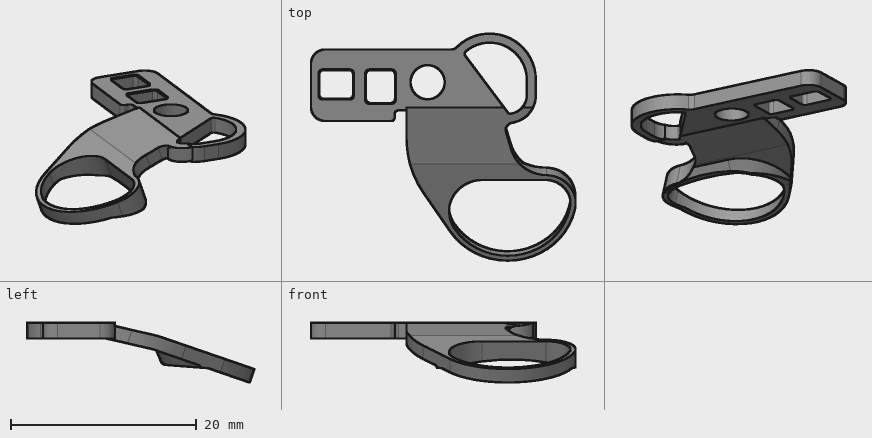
import cadquery as cq
import math

PLATE_WIDTH = 7.75
PLATE_THICKNESS = 1.7
PLATE_CORNER_RADIUS = 1.57
ROUND_HOLE_DIAMETER = 3.65
ROUND_HOLE_CENTER = (12.6, 4.2)

WINDOWS = [(0.95, 2.43, 4.55, 5.48), (5.97, 1.97, 9.05, 5.48)]
WINDOW_CORNER_RADIUS = 0.4
WINDOW_CHAMFER = 0.1
WINDOW_CHAMFER_ANGLE = 45.0

NOTCH_LEFT = 9.05
NOTCH_TOP = 1.17
NOTCH_RADIUS = 0.43
NOTCH_CORNER_RADIUS = 0.4

SMALL_LOOP_CENTER = (19.27, 4.45)
SMALL_LOOP_RADIUS = 5.0
SMALL_LOOP_WALL = 1.0
SMALL_LOOP_LOWER_RADIUS = 3.0
SMALL_LOOP_LOWER_Y = 2.8
SMALL_LOOP_BLEND_RADIUS = 0.85
SMALL_HOLE_CORNER_RADIUS = 0.35
SMALL_HOLE_UPPER_CORNER_ANGLE = 134.5
SMALL_HOLE_LOWER_CORNER_ANGLE = -88.0
small_loop_right = SMALL_LOOP_CENTER[0] + SMALL_LOOP_RADIUS
small_loop_lower_center = (small_loop_right - SMALL_LOOP_LOWER_RADIUS, SMALL_LOOP_LOWER_Y)

TAB_THICKNESS = 1.55
FIRST_BEND_Y = 1.48
SECOND_BEND_Y = -4.6
FIRST_SLOPE = 13.0
LOOP_SLOPE = 19.0
SLOPE_REACH = 17.13
second_bend_z = -(FIRST_BEND_Y - SECOND_BEND_Y) * math.tan(math.radians(FIRST_SLOPE))

HOLE_LEFT_RADIUS = 3.57
HOLE_RIGHT_RADIUS = 2.65
HOLE_BASE_RADIUS = 6.85
HOLE_TOP = -1.85
HOLE_LEFT_X = 18.47
LOOP_WALL = 0.57
LOOP_RIGHT_X = 28.55
hole_left_center = cq.Vector(HOLE_LEFT_X, HOLE_TOP - HOLE_LEFT_RADIUS)
hole_right_center = cq.Vector(LOOP_RIGHT_X - LOOP_WALL - HOLE_RIGHT_RADIUS, HOLE_TOP - HOLE_RIGHT_RADIUS)

TAB_LEFT_X = 10.3
TAB_TOP = 8.56
LEFT_STRAIGHT_END = 2.8
LEFT_FLANK_ANGLE = 33.2
INFLECTION_ANGLE = 89.0
WAIST_CURVE_END = (21.55, 1.7)
THROAT_START = (21.05, 3.43)
THROAT_END = (21.85, 4.5)

LIP_WIDTH = 1.45
LIP_TAPER = 42.0
LIP_MAX_DEPTH = 1.7
UNDERSIDE_SLOPE = 4.4
UNDERSIDE_Y = -5.15
UNDERSIDE_Z = -4.55
SADDLE_RADIUS = 22.27
SADDLE_RISE = 0.6
SADDLE_X = 21.55

CUT_SIZE = 85.65


def on_circle(center, radius, angle):
    """Point on a circle at an angle in degrees."""
    a = math.radians(angle)
    return (center[0] + radius * math.cos(a), center[1] + radius * math.sin(a))


def angle_of(vector):
    """Direction of a vector in degrees."""
    return math.degrees(math.atan2(vector.y, vector.x))


def tangent_base_center():
    """Centre of the base arc that encloses the left and right arcs of the finger hole."""
    reach_left = HOLE_BASE_RADIUS - HOLE_LEFT_RADIUS
    reach_right = HOLE_BASE_RADIUS - HOLE_RIGHT_RADIUS
    span = hole_right_center - hole_left_center
    along = (reach_left**2 - reach_right**2 + span.Length**2) / (2 * span.Length)
    across = math.sqrt(reach_left**2 - along**2)
    direction = span.normalized()
    normal = cq.Vector(-direction.y, direction.x)
    return hole_left_center + direction * along + normal * across


base_center = tangent_base_center()
left_join_angle = angle_of(hole_left_center - base_center) % 360
right_join_angle = angle_of(hole_right_center - base_center)


def loop_plane():
    """Top plane of the steeper slope, with local y pointing uphill."""
    tilt = math.radians(LOOP_SLOPE)
    return cq.Workplane(
        cq.Plane(
            origin=(0, SECOND_BEND_Y, second_bend_z),
            xDir=(1, 0, 0),
            normal=(0, -math.sin(tilt), math.cos(tilt)),
        )
    )


def finger_hole_outline(workplane, growth=0.0):
    """Closed outline of the finger hole, grown outward by a uniform distance."""
    left_radius = HOLE_LEFT_RADIUS + growth
    right_radius = HOLE_RIGHT_RADIUS + growth
    base_radius = HOLE_BASE_RADIUS + growth
    left = hole_left_center.toTuple()
    right = hole_right_center.toTuple()
    base = base_center.toTuple()
    left_mid_angle = (90 + left_join_angle) / 2
    right_mid_angle = (90 + right_join_angle) / 2
    return (
        workplane.moveTo(*on_circle(right, right_radius, 90))
        .lineTo(*on_circle(left, left_radius, 90))
        .threePointArc(
            on_circle(left, left_radius, left_mid_angle),
            on_circle(left, left_radius, left_join_angle),
        )
        .threePointArc(
            on_circle(base, base_radius, -90),
            on_circle(base, base_radius, right_join_angle),
        )
        .threePointArc(
            on_circle(right, right_radius, right_mid_angle),
            on_circle(right, right_radius, 90),
        )
        .close()
    )


def tab_outline(workplane):
    """Outer edge of the tab and finger loop."""
    base = base_center.toTuple()
    right = hole_right_center.toTuple()
    base_radius = HOLE_BASE_RADIUS + LOOP_WALL
    right_radius = HOLE_RIGHT_RADIUS + LOOP_WALL
    flank_end = on_circle(base, base_radius, 180 + LEFT_FLANK_ANGLE)
    flank = math.radians(LEFT_FLANK_ANGLE)
    flank_corner_y = flank_end[1] + (flank_end[0] - TAB_LEFT_X) / math.tan(flank)
    tangent_length = LEFT_STRAIGHT_END - flank_corner_y
    flank_start = (
        TAB_LEFT_X + tangent_length * math.sin(flank),
        flank_corner_y - tangent_length * math.cos(flank),
    )
    right_mid_angle = (right_join_angle + INFLECTION_ANGLE) / 2
    return (
        workplane.moveTo(TAB_LEFT_X, TAB_TOP)
        .lineTo(TAB_LEFT_X, LEFT_STRAIGHT_END)
        .tangentArcPoint(flank_start, relative=False)
        .lineTo(*flank_end)
        .threePointArc(
            on_circle(base, base_radius, -90),
            on_circle(base, base_radius, right_join_angle),
        )
        .threePointArc(
            on_circle(right, right_radius, right_mid_angle),
            on_circle(right, right_radius, INFLECTION_ANGLE),
        )
        .tangentArcPoint(WAIST_CURVE_END, relative=False)
        .lineTo(*THROAT_START)
        .tangentArcPoint(THROAT_END, relative=False)
        .lineTo(THROAT_END[0], TAB_TOP)
        .close()
    )


def fillet_upright_edge(body, corner, radius, depth):
    """Round the vertical edge of a body that stands at one corner point."""
    middle = (*corner, -depth / 2)
    return body.edges("|Z").edges(cq.selectors.NearestToPointSelector(middle)).fillet(radius)


def small_loop_blank(depth):
    """Solid shape of the small loop, from the top face downward."""
    lower = small_loop_lower_center
    return (
        cq.Workplane("XY")
        .moveTo(*on_circle(SMALL_LOOP_CENTER, SMALL_LOOP_RADIUS, 180))
        .threePointArc(
            on_circle(SMALL_LOOP_CENTER, SMALL_LOOP_RADIUS, 90),
            on_circle(SMALL_LOOP_CENTER, SMALL_LOOP_RADIUS, 0),
        )
        .lineTo(*on_circle(lower, SMALL_LOOP_LOWER_RADIUS, 0))
        .threePointArc(
            on_circle(lower, SMALL_LOOP_LOWER_RADIUS, -45),
            on_circle(lower, SMALL_LOOP_LOWER_RADIUS, -90),
        )
        .close()
        .extrude(-depth)
    )


def small_loop_hole(depth):
    """Opening of the small loop: the inner arcs closed by a slanting chord."""
    upper = SMALL_LOOP_CENTER
    lower = small_loop_lower_center
    upper_radius = SMALL_LOOP_RADIUS - SMALL_LOOP_WALL
    lower_radius = SMALL_LOOP_LOWER_RADIUS - SMALL_LOOP_WALL
    upper_angle = SMALL_HOLE_UPPER_CORNER_ANGLE
    lower_angle = SMALL_HOLE_LOWER_CORNER_ANGLE
    opening = (
        cq.Workplane("XY")
        .moveTo(*on_circle(upper, upper_radius, upper_angle))
        .threePointArc(
            on_circle(upper, upper_radius, upper_angle / 2),
            on_circle(upper, upper_radius, 0),
        )
        .lineTo(*on_circle(lower, lower_radius, 0))
        .threePointArc(
            on_circle(lower, lower_radius, lower_angle / 2),
            on_circle(lower, lower_radius, lower_angle),
        )
        .close()
        .extrude(-depth)
    )
    for radius_center, radius, angle in (
        (upper, upper_radius, upper_angle),
        (lower, lower_radius, lower_angle),
    ):
        corner = on_circle(radius_center, radius, angle)
        opening = fillet_upright_edge(opening, corner, SMALL_HOLE_CORNER_RADIUS, depth)
    return opening


def rounded_rectangle(width, height, radius):
    """Flat sketch of a rectangle with four round corners."""
    return cq.Sketch().rect(width, height).vertices().fillet(radius)


def window(left, bottom, right, top):
    """Rounded rectangular opening with a chamfered upper rim."""
    width = right - left
    height = top - bottom
    rim = 2 * WINDOW_CHAMFER
    base = cq.Workplane("XY", origin=((left + right) / 2, (bottom + top) / 2, 0))
    opening = base.placeSketch(
        rounded_rectangle(width, height, WINDOW_CORNER_RADIUS)
    ).extrude(-PLATE_THICKNESS)
    chamfer = base.placeSketch(
        rounded_rectangle(width + rim, height + rim, WINDOW_CORNER_RADIUS + WINDOW_CHAMFER)
    ).extrude(-WINDOW_CHAMFER, taper=WINDOW_CHAMFER_ANGLE)
    return opening.union(chamfer)


def box_below(left, top):
    """Block that removes the plate to the right of one X and below one Y."""
    return (
        cq.Workplane("XY", origin=(left, top, 0))
        .rect(CUT_SIZE, -CUT_SIZE, centered=False)
        .extrude(-PLATE_THICKNESS)
    )


def make_plate():
    """Flat plate with the windows, the round hole and the upper part of the small loop."""
    plate = (
        cq.Workplane("XY")
        .rect(SMALL_LOOP_CENTER[0], PLATE_WIDTH, centered=False)
        .extrude(-PLATE_THICKNESS)
        .edges("|Z and <X")
        .fillet(PLATE_CORNER_RADIUS)
        .union(small_loop_blank(PLATE_THICKNESS))
    )
    plate_top_rise = PLATE_WIDTH - SMALL_LOOP_CENTER[1]
    loop_meets_plate_x = SMALL_LOOP_CENTER[0] - math.sqrt(SMALL_LOOP_RADIUS**2 - plate_top_rise**2)
    plate = fillet_upright_edge(
        plate, (loop_meets_plate_x, PLATE_WIDTH), SMALL_LOOP_BLEND_RADIUS, PLATE_THICKNESS
    )

    plate = plate.cut(box_below(NOTCH_LEFT, NOTCH_TOP)).cut(box_below(TAB_LEFT_X, FIRST_BEND_Y))
    plate = fillet_upright_edge(plate, (NOTCH_LEFT, NOTCH_TOP), NOTCH_RADIUS, PLATE_THICKNESS)
    plate = fillet_upright_edge(plate, (NOTCH_LEFT, 0), NOTCH_CORNER_RADIUS, PLATE_THICKNESS)

    plate = plate.cut(small_loop_hole(PLATE_THICKNESS))
    round_hole = (
        cq.Workplane("XY")
        .center(*ROUND_HOLE_CENTER)
        .circle(ROUND_HOLE_DIAMETER / 2)
        .extrude(-PLATE_THICKNESS)
    )
    plate = plate.cut(round_hole)
    for bounds in WINDOWS:
        plate = plate.cut(window(*bounds))
    return plate


def bent_sheet():
    """Sheet of even thickness that follows both slopes, wider than the tab."""
    first = math.radians(FIRST_SLOPE)
    second = math.radians(LOOP_SLOPE)
    reach_drop = SLOPE_REACH * math.tan(second)
    end_y = SECOND_BEND_Y - SLOPE_REACH
    first_drop = TAB_THICKNESS / math.cos(first)
    mid_slope = (first + second) / 2
    miter = TAB_THICKNESS / math.cos((second - first) / 2)
    return (
        cq.Workplane("YZ")
        .moveTo(FIRST_BEND_Y, 0)
        .lineTo(SECOND_BEND_Y, second_bend_z)
        .lineTo(end_y, second_bend_z - reach_drop)
        .lineTo(
            end_y + TAB_THICKNESS * math.sin(second),
            second_bend_z - reach_drop - TAB_THICKNESS * math.cos(second),
        )
        .lineTo(
            SECOND_BEND_Y + miter * math.sin(mid_slope),
            second_bend_z - miter * math.cos(mid_slope),
        )
        .lineTo(FIRST_BEND_Y, -first_drop)
        .close()
        .extrude(CUT_SIZE)
    )


def lip_space():
    """Space above the underside of the lip and outside the saddle."""
    tilt = math.radians(UNDERSIDE_SLOPE)
    origin = (SADDLE_X, UNDERSIDE_Y, UNDERSIDE_Z)
    underside = cq.Plane(
        origin=origin, xDir=(1, 0, 0), normal=(0, -math.sin(tilt), math.cos(tilt))
    )
    saddle = cq.Plane(
        origin=origin, xDir=(1, 0, 0), normal=(0, math.cos(tilt), math.sin(tilt))
    )
    space = cq.Workplane(underside).rect(CUT_SIZE, CUT_SIZE).extrude(CUT_SIZE)
    saddle_cylinder = (
        cq.Workplane(saddle)
        .center(0, SADDLE_RADIUS - SADDLE_RISE)
        .circle(SADDLE_RADIUS)
        .extrude(CUT_SIZE, both=True)
    )
    return space.cut(saddle_cylinder)


def finger_lip():
    """Tapered lip around the finger hole that fades out toward the end of the loop."""
    lip_top = loop_plane().workplane(offset=-TAB_THICKNESS)
    lip = finger_hole_outline(lip_top, LIP_WIDTH).extrude(-LIP_MAX_DEPTH, taper=LIP_TAPER)
    return lip.intersect(lip_space())


def make_tab():
    """Bent tab with the finger loop and the lower part of the small loop."""
    outline = tab_outline(loop_plane()).extrude(CUT_SIZE, both=True)
    sheet = bent_sheet()
    tab = sheet.intersect(outline).union(sheet.intersect(small_loop_blank(CUT_SIZE)))
    tab = tab.union(finger_lip().intersect(outline))
    finger_hole = finger_hole_outline(loop_plane()).extrude(-CUT_SIZE)
    return tab.cut(finger_hole).cut(small_loop_hole(CUT_SIZE))


plate = make_plate()
tab = make_tab()
result = cq.Compound.makeCompound([plate.solids().val(), tab.solids().val()])